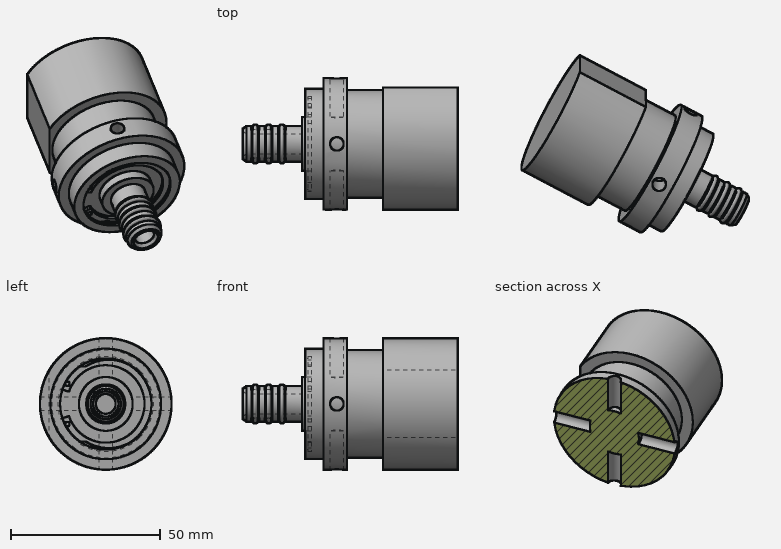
import cadquery as cq
import math

LENGTH = 71.9
COLLAR_START = 19.85
HEAD_START = 20.85
FLANGE_START = 26.95
FLANGE_END = 34.95
BARREL_START = 46.8

STEM_DIA = 12.0
COLLAR_DIA = 18.0
HEAD_DIA = 36.95
FLANGE_DIA = 44.0
NECK_DIA = 36.0
BARREL_DIA = FLANGE_DIA
BARREL_FLAT_Y = 18.9

TIP_CHAMFER_LENGTH = 1.4
TIP_CHAMFER_HEIGHT = 0.9
BORE_DIA = 6.6
BORE_MOUTH_DIA = 8.5
BORE_MOUTH_DEPTH = 1.45
BORE_DEPTH = COLLAR_START

SEAL_COUNT = 3
SEAL_FIRST_X = 4.25
SEAL_PITCH = 4.45
SEAL_SECTION_DIA = 1.8
SEAL_INNER_DIA = 9.5
SEAL_OUTER_DIA = SEAL_INNER_DIA + 2 * SEAL_SECTION_DIA
SEAL_GROOVE_WIDTH = 2.5

FLANGE_HOLE_COUNT = 4
FLANGE_HOLE_DIA = 4.5
FLANGE_HOLE_X = 31.5

RECESS_DIA = 30.5
CLIP_GROOVE_DIA = 31.8
CLIP_THICKNESS = 1.15
CLIP_SETBACK = 1.0
CLIP_FRONT = HEAD_START + CLIP_SETBACK
RECESS_FLOOR = CLIP_FRONT + CLIP_THICKNESS

CLIP_INNER_DIA = 25.9
CLIP_RIM_RADIUS = 14.75
CLIP_RIM_OFFSET = 1.0
CLIP_GAP_HALF_ANGLE = 18.3
LUG_HALF_WIDTH = 12.5
LUG_START_Y = 6.7
LUG_HOLE_DIA = 1.5
LUG_HOLE_RADIUS = 14.45
LUG_HOLE_ANGLE = 27.7


def cylinder(diameter, start, end):
    """A solid cylinder on the X axis between two stations."""
    return cq.Workplane("YZ", origin=(start, 0, 0)).circle(diameter / 2).extrude(end - start)


def tube(outer_dia, inner_dia, start, end):
    """A hollow cylinder on the X axis between two stations."""
    return cylinder(outer_dia, start, end).cut(cylinder(inner_dia, start, end))


def turned(profile):
    """The solid made by turning a closed outline about the X axis; points are (x, radius)."""
    return cq.Workplane("XY").polyline(profile).close().revolve(360, (0, 0, 0), (1, 0, 0))


seal_stations = [SEAL_FIRST_X + i * SEAL_PITCH for i in range(SEAL_COUNT)]


def stem():
    radius = STEM_DIA / 2
    body = turned([
        (0, 0),
        (0, radius - TIP_CHAMFER_HEIGHT),
        (TIP_CHAMFER_LENGTH, radius),
        (COLLAR_START, radius),
        (COLLAR_START, 0),
    ])
    half = SEAL_GROOVE_WIDTH / 2
    for x in seal_stations:
        body = body.cut(tube(SEAL_OUTER_DIA, SEAL_INNER_DIA, x - half, x + half))
    return body


def bore():
    """The blind bore of the stem with its conical mouth, as a cutting shape."""
    return turned([
        (0, 0),
        (0, BORE_MOUTH_DIA / 2),
        (BORE_MOUTH_DEPTH, BORE_DIA / 2),
        (BORE_DEPTH, BORE_DIA / 2),
        (BORE_DEPTH, 0),
    ])


def head():
    return (
        cylinder(HEAD_DIA, HEAD_START, FLANGE_START)
        .cut(cylinder(RECESS_DIA, HEAD_START, RECESS_FLOOR))
        .cut(cylinder(CLIP_GROOVE_DIA, CLIP_FRONT, RECESS_FLOOR))
    )


def clip_layer(diameter):
    """A disc on the X axis that fills the thickness of the clip."""
    return cylinder(diameter, CLIP_FRONT, RECESS_FLOOR)


def clip_gap():
    """The wedge that opens the clip on its +Y side."""
    reach = CLIP_GROOVE_DIA
    rise = reach * math.tan(math.radians(CLIP_GAP_HALF_ANGLE))
    return (
        cq.Workplane("YZ", origin=(CLIP_FRONT, 0, 0))
        .polyline([(0, 0), (reach, rise), (reach, -rise)])
        .close()
        .extrude(CLIP_THICKNESS)
    )


def clip():
    rim = clip_layer(2 * CLIP_RIM_RADIUS).translate((0, -CLIP_RIM_OFFSET, 0))
    lug_block = (
        cq.Workplane("XY", origin=(CLIP_FRONT, LUG_START_Y, 0))
        .box(CLIP_THICKNESS, CLIP_GROOVE_DIA, 2 * LUG_HALF_WIDTH, centered=(False, False, True))
    )
    body = rim.union(lug_block).intersect(clip_layer(CLIP_GROOVE_DIA))
    body = body.cut(clip_layer(CLIP_INNER_DIA)).cut(clip_gap())
    for side in (-1, 1):
        angle = math.radians(side * LUG_HOLE_ANGLE)
        y = LUG_HOLE_RADIUS * math.cos(angle)
        z = LUG_HOLE_RADIUS * math.sin(angle)
        body = body.cut(clip_layer(LUG_HOLE_DIA).translate((0, y, z)))
    return body


def flange():
    """The flange with radial holes that end on a core as wide as the collar."""
    body = cylinder(FLANGE_DIA, FLANGE_START, FLANGE_END)
    core = cylinder(COLLAR_DIA, FLANGE_START, FLANGE_END)
    hole = (
        cq.Workplane("XY", origin=(FLANGE_HOLE_X, 0, 0))
        .circle(FLANGE_HOLE_DIA / 2)
        .extrude(FLANGE_DIA)
        .cut(core)
    )
    for i in range(FLANGE_HOLE_COUNT):
        body = body.cut(hole.rotate((0, 0, 0), (1, 0, 0), i * 360 / FLANGE_HOLE_COUNT))
    return body


def barrel():
    """The end cylinder with a flat on its +Y side."""
    beyond_flat = (
        cq.Workplane("XY", origin=(BARREL_START, BARREL_FLAT_Y, 0))
        .box(LENGTH - BARREL_START, BARREL_DIA, BARREL_DIA, centered=(False, False, True))
    )
    return cylinder(BARREL_DIA, BARREL_START, LENGTH).cut(beyond_flat)


def housing():
    collar = cylinder(COLLAR_DIA, COLLAR_START, FLANGE_START)
    neck = cylinder(NECK_DIA, FLANGE_END, BARREL_START)
    body = head().union(clip()).union(collar).union(stem())
    return body.union(flange()).union(neck).union(barrel()).cut(bore())


def seal(x):
    center_radius = (SEAL_INNER_DIA + SEAL_SECTION_DIA) / 2
    return (
        cq.Workplane("XY")
        .center(x, center_radius)
        .circle(SEAL_SECTION_DIA / 2)
        .revolve(360, (0, -center_radius, 0), (1, -center_radius, 0))
    )


seals = [seal(x).val() for x in seal_stations]
result = cq.Compound.makeCompound([housing().val(), *seals])